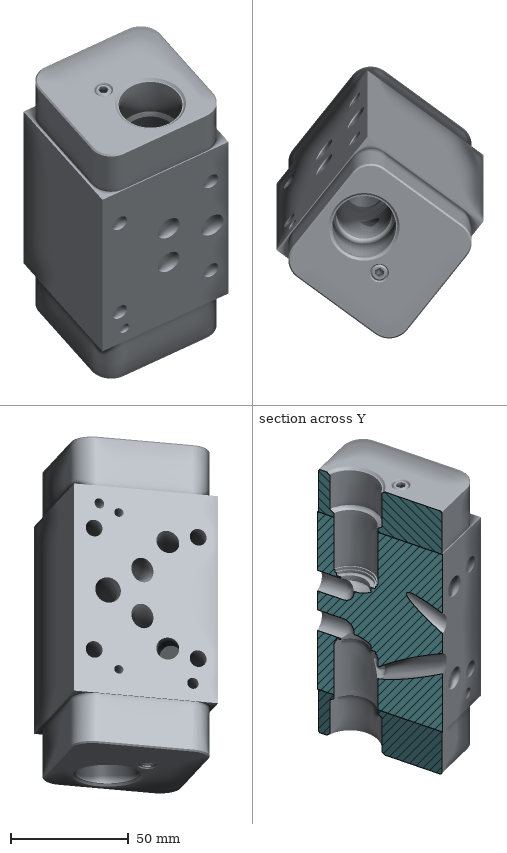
import cadquery as cq
import math

LENGTH_X = 62.0
WIDTH_Y = 63.5
TOTAL_HEIGHT = 136.5
BLOCK_HEIGHT = 92.3
PORT_FACE_X = -LENGTH_X / 2
TOP = TOTAL_HEIGHT / 2
BLOCK_TOP = BLOCK_HEIGHT / 2

CAP_SIDE = 61.0
CAP_CORNER_RADIUS = 9.7
CAP_EDGE_CHAMFER = 0.7

DRILL_HALF_ANGLE = math.radians(59)

BORE_X = 12.0
BORE_Y = 4.6
MOUTH_RADIUS = 15.0
MOUTH_DEPTH = 1.0
MOUTH_STEP_RADIUS = 14.0
BORE_RADIUS = 13.5
TAPER_TOP_Z = 49.4
TAPER_RADIUS = 11.7
TAPER_BOTTOM_Z = 48.0
STEP_Z = 19.1
STEP_RADIUS = 11.2
SEAT_TOP_Z = 17.7
SEAT_RADIUS = 10.6
LEDGE_Z = 16.4
TIP_RADIUS = 8.6
TIP_RIM_Z = 13.7

SOCKET_X = -5.6
SOCKET_Y = -7.8
SOCKET_MOUTH_RADIUS = 4.1
SOCKET_THROAT_RADIUS = 3.5
SOCKET_THROAT_DEPTH = 0.7
SOCKET_FACE_RADIUS = 2.9
SOCKET_FACE_DEPTH = 0.1
HEX_ACROSS_FLATS = 3.8
HEX_ACROSS_CORNERS = HEX_ACROSS_FLATS / math.cos(math.radians(30))
HEX_DEPTH = 3.8

PORT_RADIUS = 4.8
INNER_PORT_Y = 1.6
INNER_PORT_Z = 10.2
INNER_SLOPE_Y = 0.18
INNER_SLOPE_Z = 0.53
INNER_PORT_REACH = 35.5
OUTER_PORT_Y = -9.5
OUTER_PORT_Z = 23.8
OUTER_SLOPE_Y = -0.33
OUTER_SLOPE_Z = -0.22
OUTER_PORT_REACH = LENGTH_X / 2

THROUGH_PORT_Y = 16.8
THROUGH_PORT_RADIUS = 5.6
THROUGH_SLOPE_Y = 0.11

BACK_PORT_RADIUS = 5.5
BACK_PORT_END_X = 18.3

PILOT_Y = 12.0
PILOT_Z = 35.0
PILOT_RADIUS = 1.9
PILOT_SLOPE_Y = 0.35
PILOT_REACH = 16.4

BOLT_Y = 23.0
BOLT_Z = 27.0
BOLT_RADIUS = 3.7
LOCATOR_Y = 20.6
LOCATOR_Z = 38.2
LOCATOR_RADIUS = 2.5

VENT_RADIUS = 2.0
VENT_SLOPE_Y = 0.25
VENT_SLOPE_Z = 0.4
VENT_REACH = 10.9


def drill_point(radius):
    """Height of the cone left by a drill of this radius."""
    return radius / math.tan(DRILL_HALF_ANGLE)


def turned_cutter(x, y, profile):
    """Cutter turned about a vertical axis at (x, y) from (radius, height) points."""
    return (
        cq.Workplane("XZ")
        .polyline(profile)
        .close()
        .revolve(360, (0, 0), (0, 1))
        .translate((x, y, 0))
    )


def both_ends(upper):
    """The upper shape together with its mirror image at the lower end."""
    return [upper, upper.mirror("XY")]


def cartridge_bore():
    return turned_cutter(BORE_X, BORE_Y, [
        (0, TOP),
        (MOUTH_RADIUS, TOP),
        (MOUTH_STEP_RADIUS, TOP - MOUTH_DEPTH),
        (BORE_RADIUS, TOP - MOUTH_DEPTH),
        (BORE_RADIUS, TAPER_TOP_Z),
        (TAPER_RADIUS, TAPER_BOTTOM_Z),
        (TAPER_RADIUS, STEP_Z),
        (STEP_RADIUS, STEP_Z),
        (STEP_RADIUS, SEAT_TOP_Z),
        (SEAT_RADIUS, SEAT_TOP_Z),
        (SEAT_RADIUS, LEDGE_Z),
        (TIP_RADIUS, LEDGE_Z),
        (TIP_RADIUS, TIP_RIM_Z),
        (0, TIP_RIM_Z - drill_point(TIP_RADIUS)),
    ])


def hexagon_socket():
    """Ring groove with its sunken face, hexagon and the drilled point under the hexagon."""
    drill_radius = HEX_ACROSS_FLATS / 2
    hex_floor_z = TOP - HEX_DEPTH
    mouth = turned_cutter(SOCKET_X, SOCKET_Y, [
        (0, TOP),
        (SOCKET_MOUTH_RADIUS, TOP),
        (SOCKET_THROAT_RADIUS, TOP - SOCKET_THROAT_DEPTH),
        (SOCKET_FACE_RADIUS, TOP - SOCKET_FACE_DEPTH),
        (0, TOP - SOCKET_FACE_DEPTH),
    ])
    hexagon = (
        cq.Workplane("XY", origin=(SOCKET_X, SOCKET_Y, hex_floor_z))
        .polygon(6, HEX_ACROSS_CORNERS)
        .extrude(HEX_DEPTH)
    )
    point = turned_cutter(SOCKET_X, SOCKET_Y, [
        (0, hex_floor_z),
        (drill_radius, hex_floor_z),
        (0, hex_floor_z - drill_point(drill_radius)),
    ])
    return mouth.union(hexagon).union(point)


def slanted_hole(y, z, slope_y, slope_z, radius, reach):
    """Round cutter entering the -X face at (y, z) and slanting to a depth of reach along X."""
    along = cq.Vector(1, slope_y, slope_z)
    run_out = radius
    start = cq.Vector(PORT_FACE_X, y, z) - along * run_out
    length = along.Length * (reach + run_out)
    return cq.Workplane(cq.Solid.makeCylinder(radius, length, start, along))


def straight_hole(y, z, radius, depth):
    """Round cutter entering the -X face at (y, z) and running straight along +X."""
    start = cq.Vector(PORT_FACE_X, y, z)
    return cq.Workplane(cq.Solid.makeCylinder(radius, depth, start, cq.Vector(1, 0, 0)))


def slanted_ports():
    inner = [
        slanted_hole(INNER_PORT_Y, side * INNER_PORT_Z, side * INNER_SLOPE_Y, side * INNER_SLOPE_Z,
                     PORT_RADIUS, INNER_PORT_REACH)
        for side in (1, -1)
    ]
    outer = both_ends(slanted_hole(OUTER_PORT_Y, OUTER_PORT_Z, OUTER_SLOPE_Y, OUTER_SLOPE_Z,
                                   PORT_RADIUS, OUTER_PORT_REACH))
    return inner + outer


def through_port():
    past_far_face = LENGTH_X + THROUGH_PORT_RADIUS
    return slanted_hole(THROUGH_PORT_Y, 0, THROUGH_SLOPE_Y, 0, THROUGH_PORT_RADIUS, past_far_face)


def back_port():
    """Ball-ended port from the +X face into the tip of the upper bore."""
    end = cq.Vector(BACK_PORT_END_X, INNER_PORT_Y, INNER_PORT_Z)
    depth = LENGTH_X / 2 - BACK_PORT_END_X
    shank = cq.Workplane(cq.Solid.makeCylinder(BACK_PORT_RADIUS, depth, end, cq.Vector(1, 0, 0)))
    ball = cq.Workplane().sphere(BACK_PORT_RADIUS).translate(end)
    return shank.union(ball)


def pilot_hole():
    return slanted_hole(PILOT_Y, PILOT_Z, PILOT_SLOPE_Y, 0, PILOT_RADIUS, PILOT_REACH)


def bolt_holes():
    return [
        straight_hole(y, z, BOLT_RADIUS, LENGTH_X)
        for y in (-BOLT_Y, BOLT_Y)
        for z in (-BOLT_Z, BOLT_Z)
    ]


def locator_hole():
    return straight_hole(-LOCATOR_Y, -LOCATOR_Z, LOCATOR_RADIUS, LENGTH_X)


def vent_hole():
    """Slanted blind hole diagonally opposite the locating hole."""
    return slanted_hole(LOCATOR_Y, LOCATOR_Z, VENT_SLOPE_Y, VENT_SLOPE_Z, VENT_RADIUS, VENT_REACH)


def make_block():
    cutters = [
        *both_ends(cartridge_bore()),
        *both_ends(back_port()),
        *both_ends(pilot_hole()),
        *slanted_ports(),
        *bolt_holes(),
        through_port(),
        locator_hole(),
        vent_hole(),
    ]
    block = cq.Workplane().box(LENGTH_X, WIDTH_Y, BLOCK_HEIGHT)
    for cutter in cutters:
        block = block.cut(cutter)
    return block


def make_cap():
    """Upper cap, standing on the block."""
    return (
        cq.Workplane()
        .workplane(offset=BLOCK_TOP)
        .rect(CAP_SIDE, CAP_SIDE)
        .extrude(TOP - BLOCK_TOP)
        .edges("|Z")
        .fillet(CAP_CORNER_RADIUS)
        .faces(">Z")
        .edges()
        .chamfer(CAP_EDGE_CHAMFER)
        .cut(cartridge_bore())
        .cut(hexagon_socket())
    )


block = make_block()
caps = both_ends(make_cap())

result = cq.Compound.makeCompound([
    block.solids().val(),
    *[cap.solids().val() for cap in caps],
])